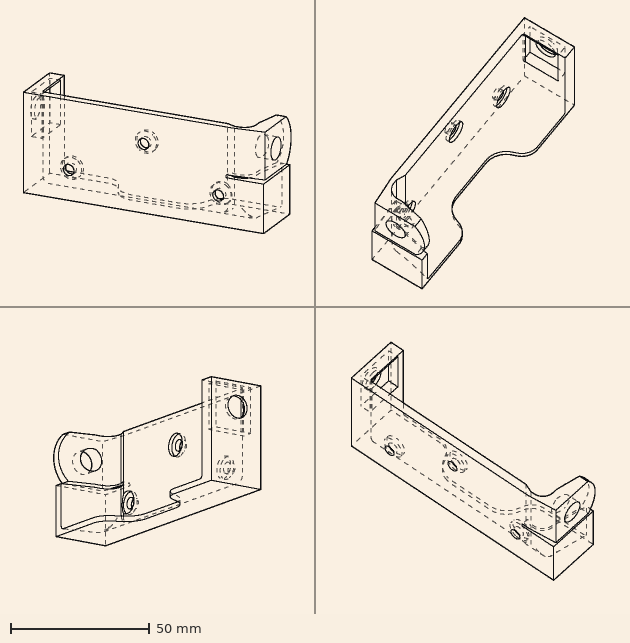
import cadquery as cq
import math

length = 96.35
body_depth = 22.1
height = 38.8

front_wall = 3.5
thin_wall = 2.0
left_wall = 5.9
right_wall = 6.2
right_wall_tip = 3.3
floor_thickness = 2.0
floor_radius = 7.0
wall_root_radius = 3.5
edge_radius = 1.2

relief_start_x = 76.8
relief_flat_x = 83.8
relief_corner_radius = 4.8

pivot_y = 10.4
pivot_z = 29.4
pivot_hole_diameter = 8.5
recess_reach = 8.6
pivot_web = 1.5
arm_radius = 12.7
slit_width = 1.2
slit_start_x = 81.2
slit_z = 19.75
taper_start_x = 84.3
taper_depth = 1.3

mount_hole_diameter = 4.2
mount_head_diameter = 8.5
mount_pitch_x = 59.9
mount_low_z = 11.8
mount_high_z = 26.8

notch_floor_y = 10.1
notch_floor_width = 30.8
notch_top_width = 40.3
notch_inner_radius = 9.0
notch_outer_radius = 7.0

floor_curve_y = thin_wall + floor_radius
right_face_x = length - right_wall

over = 4.8
back_y = body_depth + over
top_z = height + over


def box(x0, x1, y0, y1, z0, z1):
    """Box between two opposite corners."""
    return cq.Workplane("XY").box(x1 - x0, y1 - y0, z1 - z0, centered=False).translate((x0, y0, z0))


def slanted_end():
    """Part of the cavity where its right wall slants outwards towards the back, over the flat floor."""
    slope = (right_wall - right_wall_tip) / (body_depth - floor_curve_y)
    back_x = right_face_x + slope * (back_y - floor_curve_y)
    middle = length / 2
    outline = [
        (middle, floor_curve_y),
        (right_face_x, floor_curve_y),
        (back_x, back_y),
        (middle, back_y),
    ]
    end = cq.Workplane("XY", origin=(0, 0, floor_thickness)).polyline(outline).close().extrude(height)
    return end.faces("<Z").edges(">X").fillet(edge_radius)


def cavity_section():
    """Cavity between the end walls: flat floor, wide floor curve, tighter root and upright wall."""
    curve_z = floor_thickness + floor_radius
    centre_distance = floor_radius - wall_root_radius
    root_y = front_wall + wall_root_radius
    tilt = math.asin((floor_curve_y - root_y) / centre_distance)
    root_z = curve_z - centre_distance * math.cos(tilt)

    def on_floor_curve(angle):
        return (floor_curve_y - floor_radius * math.sin(angle), curve_z - floor_radius * math.cos(angle))

    def on_root(angle):
        return (root_y - wall_root_radius * math.sin(angle), root_z - wall_root_radius * math.cos(angle))

    right_angle = math.pi / 2
    return (
        cq.Workplane("YZ", origin=(left_wall, 0, 0))
        .moveTo(back_y, floor_thickness)
        .lineTo(floor_curve_y, floor_thickness)
        .threePointArc(on_floor_curve(tilt / 2), on_floor_curve(tilt))
        .threePointArc(on_root((tilt + right_angle) / 2), on_root(right_angle))
        .lineTo(front_wall, top_z)
        .lineTo(back_y, top_z)
        .close()
        .extrude(right_face_x - left_wall)
    )


def round_right_corner(body):
    """Round the vertical corner between the thinned wall and the right wall."""
    corner_x = right_face_x - relief_corner_radius
    corner_y = thin_wall + relief_corner_radius
    square = box(corner_x, right_face_x, thin_wall, corner_y, 0, top_z)
    round_post = cq.Workplane("XY").center(corner_x, corner_y).circle(relief_corner_radius).extrude(top_z)
    return body.cut(square.cut(round_post))


def main_cavity():
    """Cavity behind the full-thickness wall, with rounded edges at both end walls."""
    cavity = cavity_section()
    for end_wall in ("<X", ">X"):
        cavity = cavity.faces(end_wall).edges("not(>Z or >Y)").fillet(edge_radius)
    cavity = cavity.union(slanted_end())
    return round_right_corner(cavity)


def wall_relief():
    """Extra cut that thins the front wall next to the arm so that it can flex."""
    blend_ratio = floor_radius / (floor_radius - wall_root_radius)
    blend_y = floor_curve_y - (floor_curve_y - front_wall - wall_root_radius) * blend_ratio
    relief_end_x = right_face_x - edge_radius
    outline = [
        (relief_start_x, blend_y),
        (relief_flat_x, thin_wall),
        (relief_end_x, thin_wall),
        (relief_end_x, floor_curve_y),
        (relief_start_x, floor_curve_y),
    ]
    plan = cq.Workplane("XY").polyline(outline).close().extrude(top_z)
    section = box(0, length, thin_wall, back_y, floor_thickness, top_z)
    section = section.edges("|X and <Y and <Z").fillet(floor_radius)
    return round_right_corner(plan.intersect(section))


def body_block():
    """Outer block with the rounded trapezoid notch in its back edge."""
    middle = length / 2
    outline = [
        (0, 0),
        (length, 0),
        (length, body_depth),
        (middle + notch_top_width / 2, body_depth),
        (middle + notch_floor_width / 2, notch_floor_y),
        (middle - notch_floor_width / 2, notch_floor_y),
        (middle - notch_top_width / 2, body_depth),
        (0, body_depth),
    ]
    block = cq.Workplane("XY").polyline(outline).close().extrude(height)
    for y, radius in ((notch_floor_y, notch_inner_radius), (body_depth, notch_outer_radius)):
        corners = cq.selectors.BoxSelector((over, y - over, -over), (length - over, y + over, top_z))
        block = block.edges("|Z").edges(corners).fillet(radius)
    return block


def add_arm(body):
    """Give the right wall above the slit a round back edge centred on the pivot hole."""
    slit_top = slit_z + slit_width / 2
    start_x = right_face_x - over
    square_end = box(start_x, length, pivot_y, back_y, slit_top, height)
    disc = (
        cq.Workplane("YZ", origin=(start_x, 0, 0))
        .center(pivot_y, pivot_z)
        .circle(arm_radius)
        .extrude(length - start_x)
    )
    return body.cut(square_end).union(disc.intersect(square_end))


def slit():
    """Slit with a round end that frees the arm from the lower part."""
    end_x = slit_start_x + slit_width / 2
    half = slit_width / 2
    end = cq.Workplane("XZ").center(end_x, slit_z).circle(half).extrude(-back_y)
    return box(end_x, length, 0, back_y, slit_z - half, slit_z + half).union(end)


def front_taper():
    """Wedge that sets the front of the arm back towards its free end."""
    outline = [(taper_start_x, 0), (length, 0), (length, taper_depth)]
    return cq.Workplane("XY", origin=(0, 0, slit_z)).polyline(outline).close().extrude(height)


def pivot_holes():
    """Hole through both end walls on one axis."""
    return cq.Workplane("YZ").center(pivot_y, pivot_z).circle(pivot_hole_diameter / 2).extrude(length)


def pivot_recess():
    """Rectangular recess in the inner side of the left wall that leaves a thin web at the hole."""
    return box(
        pivot_web,
        left_wall,
        front_wall,
        pivot_y + recess_reach,
        pivot_z - recess_reach,
        pivot_z + recess_reach,
    )


def mount_holes():
    """Three holes through the front wall only, counterbored from the inner side."""
    centres = [
        (length / 2 - mount_pitch_x / 2, mount_low_z),
        (length / 2, mount_high_z),
        (length / 2 + mount_pitch_x / 2, mount_low_z),
    ]
    holes = cq.Workplane("XZ").pushPoints(centres).circle(mount_hole_diameter / 2).extrude(-floor_curve_y)
    heads = (
        cq.Workplane("XZ", origin=(0, thin_wall, 0))
        .pushPoints(centres)
        .circle(mount_head_diameter / 2)
        .extrude(thin_wall - floor_curve_y)
    )
    return holes.union(heads)


result = add_arm(body_block()).cut(main_cavity()).cut(wall_relief())
for cutter in (slit(), front_taper(), pivot_holes(), pivot_recess(), mount_holes()):
    result = result.cut(cutter)
result = cq.Workplane(result.solids().val())